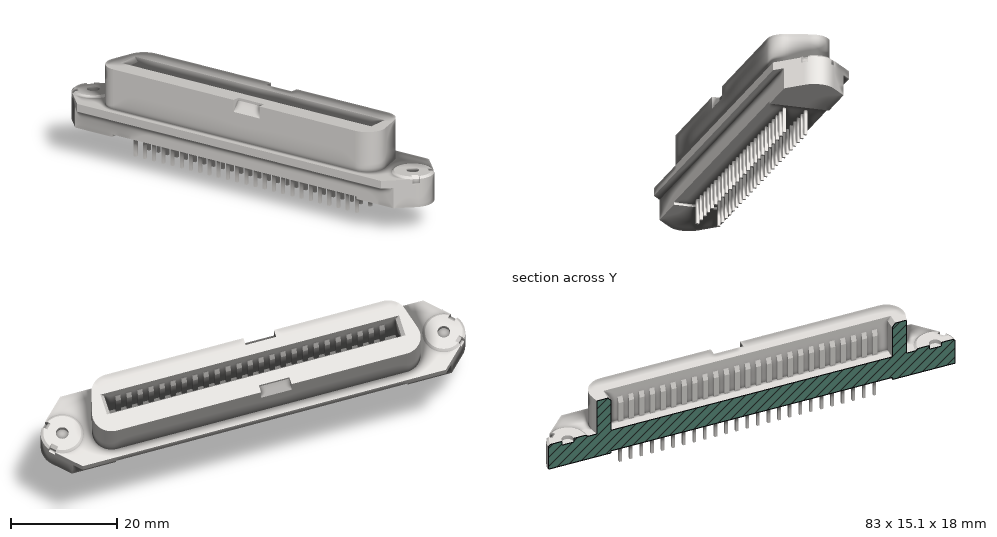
import cadquery as cq
import math

pin_tip_z = -4.36
relief_height = 0.5
flange_bottom_z = 4.05
flange_top_z = 5.6
boss_top_z = 6.0
shell_top_z = 13.6

overall_length = 83.03
flange_width = 15.11
body_width = 11.8
screw_span = 74.9
ear_taper_angle = 45
ear_radius = (overall_length - screw_span) / 2
relief_length = 57.3

boss_base_radius = ear_radius
boss_taper = 0.5
boss_top_radius = boss_base_radius - boss_taper
screw_hole_diameter = 2.4
screw_hole_depth = 0.9
notch_start_radius = 2.85
notch_wall_radius = 3.45
notch_end_radius = 4.5
notch_slope_drop = 0.6
notch_width = 1.4
notch_bottom_z = 4.6

shell_width = body_width
shell_corner_radius = 3.65
shell_lower_center_x = 28.45
shell_side_angle = math.radians(15)

slot_length = 58.6
slot_width = 4.3
slot_floor_z = flange_top_z
slot_lead_in_width = 0.7
slot_lead_in_depth = 0.9

contact_count = 25
contact_pitch = 2.16
contact_width = 1.0
contact_protrusion = 0.5
contact_top_z = shell_top_z - 2.3
contact_slope_drop = 1.2
pin_row_spacing = 4.23
pin_size = 0.55

latch_start_x = -0.15
latch_length = 6.0
latch_depth = 1.5
latch_inner_drop = 0.55
latch_outer_drop = 2.4


def make_outline(bottom_z, top_z):
    """Full-width slab with tapered, rounded ears at both ends."""
    half_span = screw_span / 2
    half_width = flange_width / 2
    tangent_offset = ear_radius * math.sin(math.radians(ear_taper_angle))
    tangent_x = half_span + tangent_offset
    corner_x = tangent_x - (half_width - tangent_offset) / math.tan(math.radians(ear_taper_angle))
    return (
        cq.Workplane("XY", origin=(0, 0, bottom_z))
        .moveTo(-corner_x, -half_width)
        .lineTo(corner_x, -half_width)
        .lineTo(tangent_x, -tangent_offset)
        .threePointArc((half_span + ear_radius, 0), (tangent_x, tangent_offset))
        .lineTo(corner_x, half_width)
        .lineTo(-corner_x, half_width)
        .lineTo(-tangent_x, tangent_offset)
        .threePointArc((-half_span - ear_radius, 0), (-tangent_x, -tangent_offset))
        .close()
        .extrude(top_z - bottom_z)
    )


def make_base():
    """Flange over a narrower body whose underside is relieved between the ears."""
    body_limits = cq.Workplane("XY").box(
        overall_length, body_width, flange_top_z, centered=(True, True, False)
    )
    relief = cq.Workplane("XY").box(
        relief_length, flange_width, relief_height, centered=(True, True, False)
    )
    body = make_outline(0, flange_top_z).intersect(body_limits).cut(relief)
    return body.union(make_outline(flange_bottom_z, flange_top_z))


def make_boss_notch():
    """Notch along +X of a boss: a sloped lip, then a vertical wall down to the floor."""
    return (
        cq.Workplane("XZ", origin=(0, notch_width / 2, 0))
        .polyline(
            [
                (notch_start_radius, boss_top_z),
                (notch_wall_radius, boss_top_z - notch_slope_drop),
                (notch_wall_radius, notch_bottom_z),
                (notch_end_radius, notch_bottom_z),
                (notch_end_radius, boss_top_z),
            ]
        )
        .close()
        .extrude(notch_width)
    )


def add_screw_bosses(part):
    """Conical boss, blind screw hole and two diagonal notches on each ear."""
    for side in (-1, 1):
        center_x = side * screw_span / 2
        boss = (
            cq.Workplane("XY", origin=(center_x, 0, flange_top_z))
            .circle(boss_base_radius)
            .workplane(offset=boss_top_z - flange_top_z)
            .circle(boss_top_radius)
            .loft()
        )
        hole = (
            cq.Workplane("XY", origin=(center_x, 0, boss_top_z))
            .circle(screw_hole_diameter / 2)
            .extrude(-screw_hole_depth)
        )
        part = part.union(boss).cut(hole)
        outward_angle = 0 if side > 0 else 180
        for turn in (-ear_taper_angle, ear_taper_angle):
            notch = make_boss_notch().rotate((0, 0, 0), (0, 0, 1), outward_angle + turn)
            part = part.cut(notch.translate((center_x, 0, 0)))
    return part


def make_shell():
    """D-shaped wall block, wider at -Y than at +Y."""
    radius = shell_corner_radius
    half_width = shell_width / 2
    center_y = half_width - radius
    lower_x = shell_lower_center_x
    upper_x = lower_x - 2 * center_y * math.tan(shell_side_angle)
    normal = (math.cos(shell_side_angle), math.sin(shell_side_angle))
    lower_mid_angle = (shell_side_angle - math.pi / 2) / 2
    upper_mid_angle = (shell_side_angle + math.pi / 2) / 2
    lower_mid = (math.cos(lower_mid_angle), math.sin(lower_mid_angle))
    upper_mid = (math.cos(upper_mid_angle), math.sin(upper_mid_angle))

    def on_corner(center_x, corner_y, direction, side):
        """Point on a corner arc in the given direction from its centre; side is +1 or -1 in X."""
        return (side * (center_x + radius * direction[0]), corner_y + radius * direction[1])

    return (
        cq.Workplane("XY", origin=(0, 0, flange_bottom_z))
        .moveTo(-lower_x, -half_width)
        .lineTo(lower_x, -half_width)
        .threePointArc(
            on_corner(lower_x, -center_y, lower_mid, 1),
            on_corner(lower_x, -center_y, normal, 1),
        )
        .lineTo(*on_corner(upper_x, center_y, normal, 1))
        .threePointArc(on_corner(upper_x, center_y, upper_mid, 1), (upper_x, half_width))
        .lineTo(-upper_x, half_width)
        .threePointArc(
            on_corner(upper_x, center_y, upper_mid, -1),
            on_corner(upper_x, center_y, normal, -1),
        )
        .lineTo(*on_corner(lower_x, -center_y, normal, -1))
        .threePointArc(on_corner(lower_x, -center_y, lower_mid, -1), (-lower_x, -half_width))
        .close()
        .extrude(shell_top_z - flange_bottom_z)
    )


def make_slot():
    """Mating slot with a sloped lead-in at the top of each end wall."""
    top_x = slot_length / 2
    wall_x = top_x - slot_lead_in_width
    lead_in_z = shell_top_z - slot_lead_in_depth
    return (
        cq.Workplane("XZ", origin=(0, slot_width / 2, 0))
        .polyline(
            [
                (-top_x, shell_top_z),
                (top_x, shell_top_z),
                (wall_x, lead_in_z),
                (wall_x, slot_floor_z),
                (-wall_x, slot_floor_z),
                (-wall_x, lead_in_z),
            ]
        )
        .close()
        .extrude(slot_width)
    )


def make_latch_recess(side):
    """Recess with a floor that slopes down toward the outer face of the shell."""
    outer_y = side * shell_width / 2
    inner_y = side * (shell_width / 2 - latch_depth)
    return (
        cq.Workplane("YZ", origin=(latch_start_x, 0, 0))
        .polyline(
            [
                (outer_y, shell_top_z),
                (inner_y, shell_top_z),
                (inner_y, shell_top_z - latch_inner_drop),
                (outer_y, shell_top_z - latch_outer_drop),
            ]
        )
        .close()
        .extrude(latch_length)
    )


def make_contact(side):
    """Rib on one slot wall, its top sloping down toward the middle of the slot."""
    wall_y = side * slot_width / 2
    face_y = side * (slot_width / 2 - contact_protrusion)
    return (
        cq.Workplane("YZ", origin=(-contact_width / 2, 0, 0))
        .polyline(
            [
                (wall_y, slot_floor_z),
                (wall_y, contact_top_z),
                (face_y, contact_top_z - contact_slope_drop),
                (face_y, slot_floor_z),
            ]
        )
        .close()
        .extrude(contact_width)
    )


def add_contacts(part):
    """Two rows of contact ribs inside the slot, each with a solder pin below."""
    pin = cq.Workplane("XY").box(
        pin_size, pin_size, relief_height - pin_tip_z, centered=(True, True, False)
    )
    row_start = -contact_pitch * (contact_count - 1) / 2
    pieces = []
    for side in (-1, 1):
        contact = make_contact(side)
        for index in range(contact_count):
            x = row_start + index * contact_pitch
            pieces.append(contact.translate((x, 0, 0)).val())
            pieces.append(pin.translate((x, side * pin_row_spacing / 2, pin_tip_z)).val())
    return cq.Workplane(part.val().fuse(*pieces))


result = add_screw_bosses(make_base())
result = result.union(make_shell()).cut(make_slot())
for wall_side in (-1, 1):
    result = result.cut(make_latch_recess(wall_side))
result = add_contacts(result)